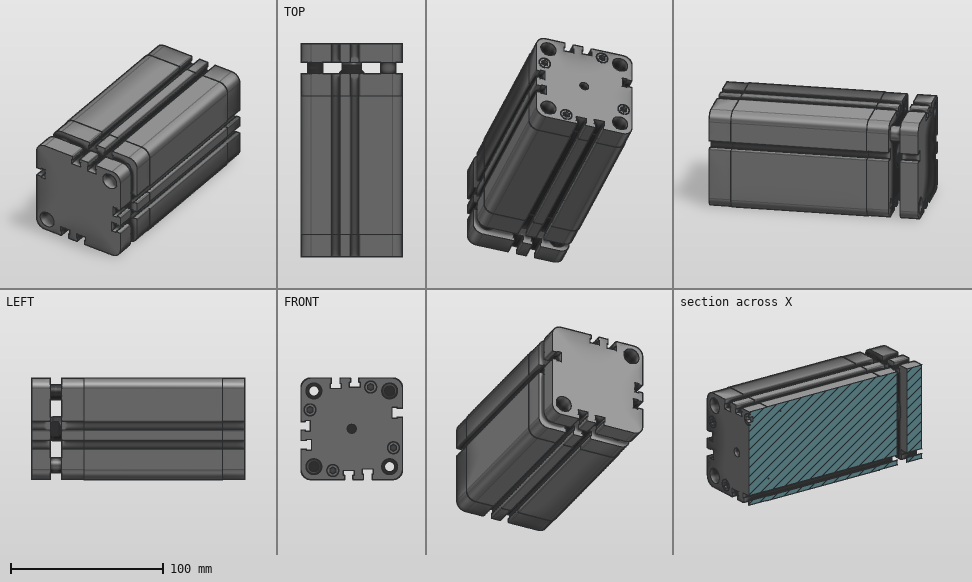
import cadquery as cq
import math


overall_length = 140.0
cap_length = 14.65
barrel_length = 91.0
plate_thickness = 12.2
barrel_start = cap_length
rear_cap_start = barrel_start + barrel_length
rear_cap_end = rear_cap_start + cap_length
plate_start = overall_length - plate_thickness

barrel_width = 67.0
cap_width = 66.5
corner_radius = 6.6

deep_slot_offset = -10.55
deep_slot_depth = 7.0
deep_slot_lip_depth = 3.5
deep_slot_neck = 5.6
deep_slot_rounding = 0.4
shallow_slot_offset = 1.95
shallow_slot_depth = 6.1
shallow_slot_lip_depth = 2.8
barrel_shallow_neck = 5.2
cap_shallow_neck = 5.4
barrel_shallow_rounding = 0.45
cap_shallow_rounding = 0.75
slot_inner_width = 7.0
cap_extra_depth = 0.1

mount_spacing = 49.75
mount_bore_diameter = 6.65
counterbore_diameter = 10.5
counterbore_depth = 12.0
mount_blind_depth = 25.0
plate_hole_diameter = 11.0

screw_side_offset = 12.45
screw_edge_offset = 27.4
screw_pocket_diameter = 8.0
screw_head_diameter = 7.5
screw_gap_depth = 1.0
hex_across_flats = 4.0
hex_depth = 3.0

center_hole_diameter = 6.0
center_hole_depth = 10.0

guide_diameter = 10.0
guide_spacing = 48.0
rod_diameter = 16.0
rod_across_flats = 13.0
rod_flat_length = 5.3
rod_chamfer_height = 0.6
rod_chamfer_length = 1.8

PLUS_X_TURN = 90
QUARTER_TURNS = (0, PLUS_X_TURN, 180, 270)


def section(start):
    """Workplane in XZ at the given Y, with local X = X and local Y = Z."""
    return cq.Workplane("XZ", origin=(0, start, 0))


def turn(solid, angle):
    """Turn a solid about the cylinder axis."""
    return solid.rotate((0, 0, 0), (0, 1, 0), angle)


def cylinder(x, z, start, diameter, length):
    return section(start).center(x, z).circle(diameter / 2).extrude(-length)


def slot_cutter(start, length, surface, offset, neck, rounding, lip_depth, depth):
    """T-slot with rounded lips, cut into the +Z side whose surface height is given."""
    half_neck = neck / 2
    half_mouth = half_neck + rounding
    half_inner = slot_inner_width / 2
    lip_z = surface - lip_depth
    floor_z = barrel_width / 2 - depth
    round_end_z = surface - rounding
    diagonal = rounding * math.sqrt(0.5)
    middle_x = half_mouth - diagonal
    middle_z = round_end_z + diagonal
    return (
        section(start)
        .center(offset, 0)
        .moveTo(half_mouth, surface)
        .threePointArc((middle_x, middle_z), (half_neck, round_end_z))
        .lineTo(half_neck, lip_z)
        .lineTo(half_inner, lip_z)
        .lineTo(half_inner, floor_z)
        .lineTo(-half_inner, floor_z)
        .lineTo(-half_inner, lip_z)
        .lineTo(-half_neck, lip_z)
        .lineTo(-half_neck, round_end_z)
        .threePointArc((-middle_x, middle_z), (-half_mouth, surface))
        .close()
        .extrude(-length)
    )


def profile_block(start, length, width, shallow_neck, shallow_rounding, extra_depth=0):
    """Rounded square block with deep slots on four sides and shallow slots on all but +X."""
    block = section(start).rect(width, width).extrude(-length).edges("|Y").fillet(corner_radius)
    surface = width / 2
    deep = slot_cutter(
        start, length, surface, deep_slot_offset, deep_slot_neck,
        deep_slot_rounding, deep_slot_lip_depth, deep_slot_depth + extra_depth,
    )
    shallow = slot_cutter(
        start, length, surface, shallow_slot_offset, shallow_neck,
        shallow_rounding, shallow_slot_lip_depth, shallow_slot_depth + extra_depth,
    )
    for angle in QUARTER_TURNS:
        block = block.cut(turn(deep, angle))
        if angle != PLUS_X_TURN:
            block = block.cut(turn(shallow, angle))
    return block


def cap_block(start, length):
    """Block with the slightly smaller section shared by both caps and the plate."""
    return profile_block(
        start, length, cap_width, cap_shallow_neck, cap_shallow_rounding, cap_extra_depth
    )


def piston_rod():
    """Round rod, chamfered at the plate, with two wrench flats facing -X and +X."""
    radius = rod_diameter / 2
    length = plate_start - rear_cap_end
    rod = cylinder(0, 0, rear_cap_end, rod_diameter, length)
    rod = rod.faces(">Y").chamfer(rod_chamfer_length, rod_chamfer_height)
    half_flats = rod_across_flats / 2
    flat_start = plate_start - rod_flat_length
    flat_cutter = (
        cq.Workplane("XY")
        .moveTo(half_flats, plate_start)
        .lineTo(half_flats, flat_start)
        .lineTo(radius, flat_start - (radius - half_flats))
        .lineTo(radius, plate_start)
        .close()
        .extrude(radius, both=True)
    )
    return rod.cut(flat_cutter).cut(turn(flat_cutter, 180))


def cut_mount_holes(body):
    """Counterbored corner holes; they run right through where the plate has a hole behind them."""
    half = mount_spacing / 2
    for x in (-half, half):
        for z in (-half, half):
            is_through = x * z < 0
            bore_length = rear_cap_end if is_through else mount_blind_depth
            body = body.cut(cylinder(x, z, 0, mount_bore_diameter, bore_length))
            body = body.cut(cylinder(x, z, 0, counterbore_diameter, counterbore_depth))
            if is_through:
                body = body.cut(cylinder(x, z, plate_start, plate_hole_diameter, plate_thickness))
    return body


def cut_screws(body):
    """Ring gap around each flush screw head, and a hexagon socket with two corners along Z."""
    hex_across_corners = hex_across_flats / math.cos(math.pi / 6)
    x, z = screw_side_offset, screw_edge_offset
    for _ in QUARTER_TURNS:
        pocket = cylinder(x, z, 0, screw_pocket_diameter, screw_gap_depth)
        head = cylinder(x, z, 0, screw_head_diameter, screw_gap_depth)
        socket = section(0).polygon(6, hex_across_corners).extrude(-hex_depth)
        socket = turn(socket, 90).translate((x, 0, z))
        body = body.cut(pocket.cut(head)).cut(socket)
        x, z = z, -x
    return body


def build():
    body = cap_block(0, cap_length)
    barrel = profile_block(
        barrel_start, barrel_length, barrel_width, barrel_shallow_neck, barrel_shallow_rounding
    )
    body = body.union(barrel)
    body = body.union(cap_block(rear_cap_start, cap_length))
    body = body.union(cap_block(plate_start, plate_thickness))
    body = body.union(piston_rod())
    for side in (-1, 1):
        place = side * guide_spacing / 2
        body = body.union(cylinder(place, place, rear_cap_end, guide_diameter, plate_start - rear_cap_end))
    body = cut_mount_holes(body)
    body = cut_screws(body)
    return body.cut(cylinder(0, 0, 0, center_hole_diameter, center_hole_depth))


result = build()